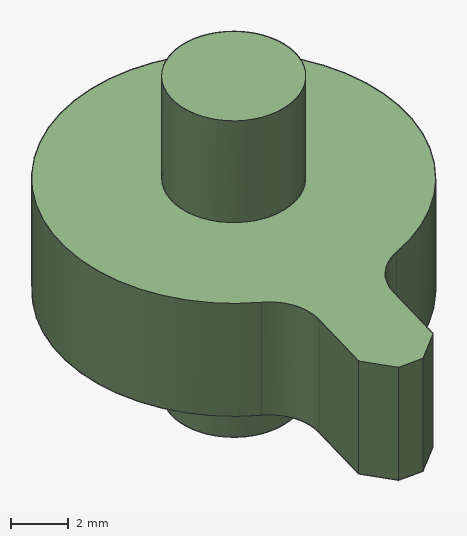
import cadquery as cq
import math

overall_length = 19.0
disc_diameter = 14.0
disc_thickness = 5.0
pin_diameter = 5.0
pin_length = 14.0
arm_width = 3.0
tip_chamfer = 1.0
root_fillet = 2.0

disc_radius = disc_diameter / 2
arm_half_width = arm_width / 2
tip_x = overall_length - disc_radius
tip_half_width = arm_half_width - tip_chamfer

fillet_center_y = arm_half_width + root_fillet
fillet_center_distance = disc_radius + root_fillet
fillet_center_x = math.sqrt(fillet_center_distance**2 - fillet_center_y**2)
fillet_angle = math.atan2(fillet_center_y, fillet_center_x)
rim_x = disc_radius * math.cos(fillet_angle)
rim_y = disc_radius * math.sin(fillet_angle)

middle_angle = (fillet_angle + math.pi / 2) / 2
fillet_middle_x = fillet_center_x - root_fillet * math.cos(middle_angle)
fillet_middle_y = fillet_center_y - root_fillet * math.sin(middle_angle)


def make_pointer_disc():
    """Disc with a chamfered pointer arm along +X, centred in thickness."""
    return (
        cq.Workplane("XY")
        .workplane(offset=-disc_thickness / 2)
        .moveTo(rim_x, rim_y)
        .threePointArc((-disc_radius, 0), (rim_x, -rim_y))
        .threePointArc((fillet_middle_x, -fillet_middle_y), (fillet_center_x, -arm_half_width))
        .lineTo(tip_x - tip_chamfer, -arm_half_width)
        .lineTo(tip_x, -tip_half_width)
        .lineTo(tip_x, tip_half_width)
        .lineTo(tip_x - tip_chamfer, arm_half_width)
        .lineTo(fillet_center_x, arm_half_width)
        .threePointArc((fillet_middle_x, fillet_middle_y), (rim_x, rim_y))
        .close()
        .extrude(disc_thickness)
    )


def make_pin():
    """Pin through the disc centre, standing out equally on both faces."""
    return cq.Workplane("XY").circle(pin_diameter / 2).extrude(pin_length / 2, both=True)


result = make_pointer_disc().union(make_pin())